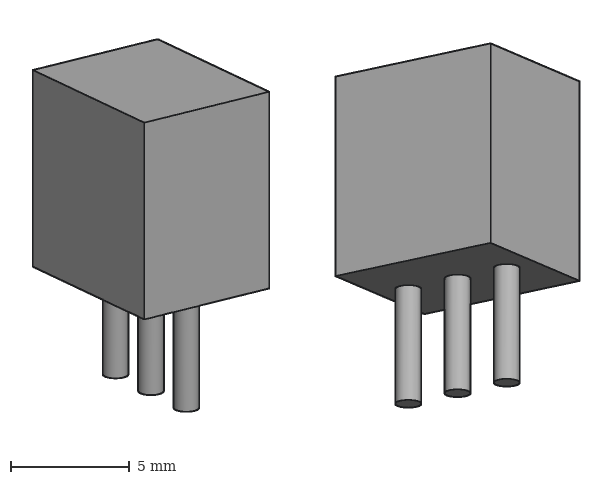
import cadquery as cq

body_width = 8.02
body_depth = 6.5
total_height = 13.9

pin_diameter = 1.1
pin_length = 5.07
pin_pitch = 2.55
pin_count = 3

body_height = total_height - pin_length


def make_housing():
    """Plain rectangular block whose underside lies at Z = 0."""
    return cq.Workplane("XY").box(body_width, body_depth, body_height, centered=(True, True, False))


def make_pin(x):
    """Round pin hanging from the underside of the housing."""
    return cq.Workplane("XY").center(x, 0).circle(pin_diameter / 2).extrude(-pin_length)


housing = make_housing()

pins = []
for index in range(pin_count):
    pin_x = (index - (pin_count - 1) / 2) * pin_pitch
    pins.append(make_pin(pin_x).val())

result = cq.Compound.makeCompound([housing.val(), *pins])